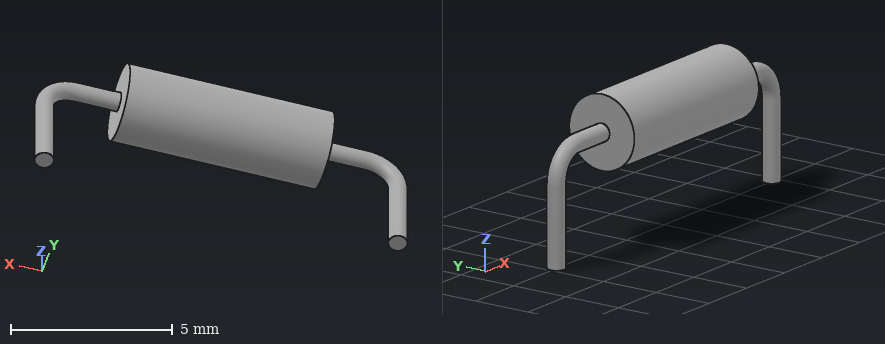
import cadquery as cq

span = 12.01
height = 5.03
housing_diameter = 2.49
housing_length = 6.6
lead_diameter = 0.6
bend_radius = 1.05

housing_end = housing_length / 2
leg_x = span / 2 - lead_diameter / 2
bend_start_x = leg_x - bend_radius
tip_z = housing_diameter / 2 - height


def make_housing():
    """Cylinder along X."""
    return (
        cq.Workplane("YZ", origin=(-housing_end, 0, 0))
        .circle(housing_diameter / 2)
        .extrude(housing_length)
    )


def make_lead(side):
    """Round wire from the housing end face, bent down to its tip; side is -1 or +1."""
    path = (
        cq.Workplane("XZ")
        .moveTo(side * housing_end, 0)
        .lineTo(side * bend_start_x, 0)
        .tangentArcPoint((side * leg_x, -bend_radius), relative=False)
        .lineTo(side * leg_x, tip_z)
    )
    return (
        cq.Workplane("YZ", origin=(side * housing_end, 0, 0))
        .circle(lead_diameter / 2)
        .sweep(path)
    )


housing = make_housing()
leads = [make_lead(side) for side in (-1, 1)]

result = cq.Compound.makeCompound([housing.val(), *[lead.val() for lead in leads]])